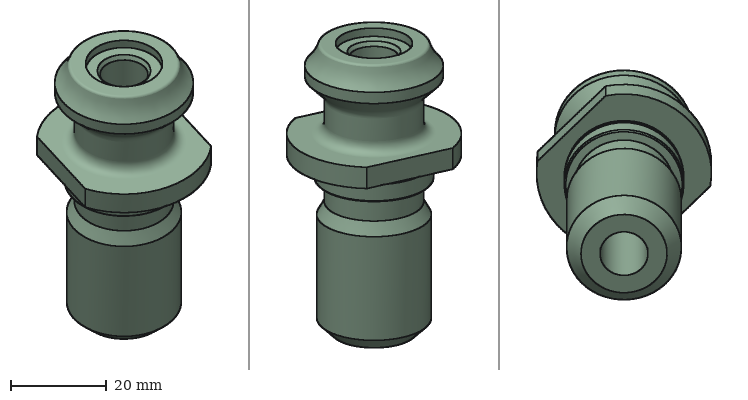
import cadquery as cq
import math

total_height = 65.4
body_radius = 24.0 / 2
end_chamfer = 3.0
body_top = 26.55

relief_radius = 20.8 / 2
relief_bottom = 29.4
relief_top = 34.3

collar_radius = 25.0 / 2
collar_edge = 0.3
collar_underside_rise = 0.3
collar_top = 38.6
undercut_radius = 24.5 / 2
undercut_bottom = 39.0
undercut_edge = 0.2

flange_radius = 36.55 / 2
flange_width = 30.15
flange_bottom = 40.15
flange_top = 45.0

neck_radius = 20.8 / 2
neck_fillet = 2.55

head_radius = 29.0 / 2
head_bottom = 57.9
head_top = 60.4
shoulder_radius = 23.4 / 2
shoulder_arc_sag = 0.3
top_round = 0.8
top_round_angle = math.radians(60)

bore_radius = 10.0 / 2
recess_radius = 16.0 / 2
recess_depth = 1.9
countersink_radius = 11.1 / 2
countersink_depth = 1.0


def make_solid_of_revolution():
    """Turned outer form, drawn as a half profile of (radius, height)."""
    diagonal = math.sqrt(0.5)

    cone_start_radius = neck_radius + neck_fillet * (1 - diagonal)
    cone_start_height = head_bottom - (head_radius - cone_start_radius)
    neck_top = cone_start_height - neck_fillet * diagonal
    upper_fillet_mid = (
        neck_radius + neck_fillet * (1 - math.cos(math.pi / 8)),
        neck_top + neck_fillet * math.sin(math.pi / 8),
    )
    lower_fillet_mid = (
        neck_radius + neck_fillet * (1 - diagonal),
        flange_top + neck_fillet * (1 - diagonal),
    )

    collar_bottom = relief_top + collar_underside_rise

    shoulder_height = total_height - top_round * (1 - math.cos(top_round_angle))
    rise = shoulder_height - head_top
    run = head_radius - shoulder_radius
    chord = math.hypot(rise, run)
    shoulder_mid = (
        (head_radius + shoulder_radius) / 2 - shoulder_arc_sag * rise / chord,
        (head_top + shoulder_height) / 2 - shoulder_arc_sag * run / chord,
    )

    top_flat_radius = shoulder_radius - top_round * math.sin(top_round_angle)
    top_round_mid = (
        top_flat_radius + top_round * math.sin(top_round_angle / 2),
        total_height - top_round * (1 - math.cos(top_round_angle / 2)),
    )

    return (
        cq.Workplane("XZ")
        .moveTo(0, 0)
        .lineTo(body_radius - end_chamfer, 0)
        .lineTo(body_radius, end_chamfer)
        .lineTo(body_radius, body_top)
        .lineTo(relief_radius, relief_bottom)
        .lineTo(relief_radius, relief_top)
        .lineTo(collar_radius - collar_edge, collar_bottom)
        .lineTo(collar_radius, collar_bottom + collar_edge)
        .lineTo(collar_radius, collar_top)
        .lineTo(undercut_radius, undercut_bottom)
        .lineTo(undercut_radius, flange_bottom - undercut_edge)
        .lineTo(undercut_radius - undercut_edge, flange_bottom)
        .lineTo(flange_radius, flange_bottom)
        .lineTo(flange_radius, flange_top)
        .lineTo(neck_radius + neck_fillet, flange_top)
        .threePointArc(lower_fillet_mid, (neck_radius, flange_top + neck_fillet))
        .lineTo(neck_radius, neck_top)
        .threePointArc(upper_fillet_mid, (cone_start_radius, cone_start_height))
        .lineTo(head_radius, head_bottom)
        .lineTo(head_radius, head_top)
        .threePointArc(shoulder_mid, (shoulder_radius, shoulder_height))
        .threePointArc(top_round_mid, (top_flat_radius, total_height))
        .lineTo(0, total_height)
        .close()
        .revolve(360, (0, 0, 0), (0, 1, 0))
    )


def make_bore():
    """Through bore with a countersink and a flat-bottomed recess at the head."""
    recess_floor = total_height - recess_depth
    return (
        cq.Workplane("XZ")
        .moveTo(0, 0)
        .lineTo(bore_radius, 0)
        .lineTo(bore_radius, recess_floor - countersink_depth)
        .lineTo(countersink_radius, recess_floor)
        .lineTo(recess_radius, recess_floor)
        .lineTo(recess_radius, total_height)
        .lineTo(0, total_height)
        .close()
        .revolve(360, (0, 0, 0), (0, 1, 0))
    )


def make_flat_envelope():
    """Block whose two Y faces trim the flange to its wrench flats."""
    return cq.Workplane("XY").box(
        2 * flange_radius, flange_width, total_height, centered=(True, True, False)
    )


result = make_solid_of_revolution().intersect(make_flat_envelope()).cut(make_bore())